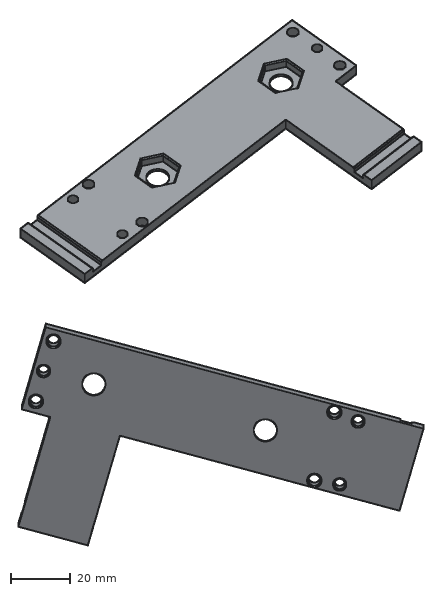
import cadquery as cq
import math

LENGTH = 132.2
TOTAL_WIDTH = 70.0
THICKNESS = 4.5
BAR_WIDTH = 30.0
ARM_HEIGHT = 24.3
ARM_TOP_INSET = 10.0
BAR_CENTER = BAR_WIDTH / 2
ARM_BOTTOM = LENGTH - ARM_TOP_INSET - ARM_HEIGHT

GROOVE_END_GAP = 4.1
GROOVE_WIDTH = 4.0
GROOVE_DEPTH = 2.0
RIM_CHAMFER = 0.5

POCKET_FLATS = 13.0
POCKET_DEPTH = 3.5
BOLT_DIAMETER = 7.8
UPPER_POCKET_INSET = 21.0
POCKET_PITCH = 60.0
UPPER_POCKET_Y = LENGTH - UPPER_POCKET_INSET
POCKET_YS = (UPPER_POCKET_Y, UPPER_POCKET_Y - POCKET_PITCH)

LARGE_HOLE = 4.0
SMALL_HOLE = 3.6
HOLE_CHAMFER = 0.5
TOP_PAIR_SPACING = 22.0
TOP_PAIR_INSET = 3.8
TOP_MIDDLE_INSET = 3.5
OUTER_PAIR_SPACING = 25.0
OUTER_PAIR_Y = 30.5
INNER_PAIR_SPACING = 23.0
INNER_PAIR_Y = 22.0


def make_plate():
    bar = cq.Workplane("XY").box(BAR_WIDTH, LENGTH, THICKNESS, centered=False)
    arm = (
        cq.Workplane("XY")
        .box(TOTAL_WIDTH, ARM_HEIGHT, THICKNESS, centered=False)
        .translate((0, ARM_BOTTOM, 0))
    )
    return bar.union(arm)


def groove_profile(plane, end, inward):
    """Section of the groove with its rim chamfers, placed from an end of the plate."""
    near = end + inward * GROOVE_END_GAP
    far = near + inward * GROOVE_WIDTH
    flare = inward * RIM_CHAMFER
    floor = THICKNESS - GROOVE_DEPTH
    rim = THICKNESS - RIM_CHAMFER
    return cq.Workplane(plane).polyline([
        (near - flare, THICKNESS),
        (near, rim),
        (near, floor),
        (far, floor),
        (far, rim),
        (far + flare, THICKNESS),
    ]).close()


def make_pocket(y):
    flats_to_corners = 1 / math.cos(math.pi / 6)
    corners = POCKET_FLATS * flats_to_corners
    rim_corners = (POCKET_FLATS + 2 * RIM_CHAMFER) * flats_to_corners
    hexagon = (
        cq.Workplane("XY", origin=(BAR_CENTER, y, THICKNESS - POCKET_DEPTH))
        .polygon(6, corners)
        .extrude(POCKET_DEPTH)
    )
    rim = (
        cq.Workplane("XY", origin=(BAR_CENTER, y, THICKNESS - RIM_CHAMFER))
        .polygon(6, corners)
        .workplane(offset=RIM_CHAMFER)
        .polygon(6, rim_corners)
        .loft(ruled=True)
    )
    bolt_hole = make_holes([(BAR_CENTER, y)], BOLT_DIAMETER)
    return hexagon.union(rim).union(bolt_hole)


def make_holes(centers, diameter):
    return cq.Workplane("XY").pushPoints(centers).circle(diameter / 2).extrude(THICKNESS)


def make_chamfered_holes(centers, diameter):
    """Through holes widened by a chamfer at the bottom face."""
    radius = diameter / 2
    holes = make_holes(centers, diameter)
    for x, y in centers:
        cone = cq.Solid.makeCone(radius + HOLE_CHAMFER, radius, HOLE_CHAMFER, pnt=cq.Vector(x, y, 0))
        holes = holes.union(cq.Workplane(cone))
    return holes


def pair(spacing, y):
    return [(BAR_CENTER - spacing / 2, y), (BAR_CENTER + spacing / 2, y)]


result = make_plate()

result = result.cut(groove_profile("YZ", 0, 1).extrude(BAR_WIDTH))
result = result.cut(groove_profile("XZ", TOTAL_WIDTH, -1).extrude(-LENGTH))

for pocket_y in POCKET_YS:
    result = result.cut(make_pocket(pocket_y))

large_centers = (
    pair(TOP_PAIR_SPACING, LENGTH - TOP_PAIR_INSET)
    + pair(OUTER_PAIR_SPACING, OUTER_PAIR_Y)
)
small_centers = (
    [(BAR_CENTER, LENGTH - TOP_MIDDLE_INSET)]
    + pair(INNER_PAIR_SPACING, INNER_PAIR_Y)
)
result = result.cut(make_chamfered_holes(large_centers, LARGE_HOLE))
result = result.cut(make_chamfered_holes(small_centers, SMALL_HOLE))